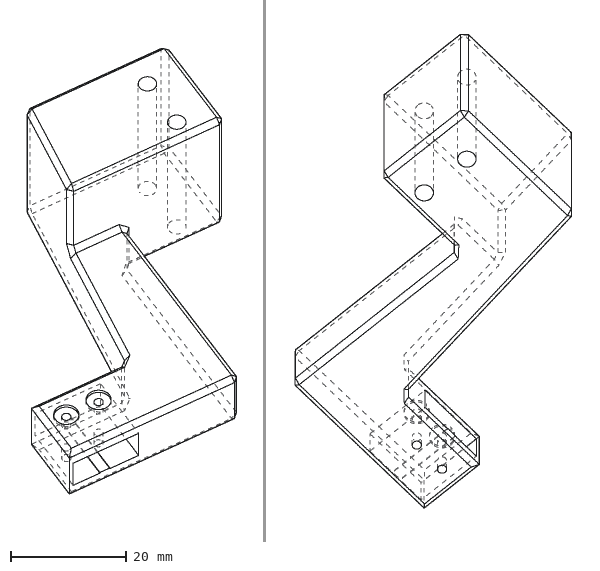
import cadquery as cq

length = 59.15
depth = 54.5
block_height = 28.6
arm_height = 11.85
edge_chamfer = 1.0

block_width = 19.9
arm_rear_y = 34.25
finger_width = 12.95
slant_left_y = 26.05
slant_right_y = 19.25
finger_left_x = length - finger_width

mount_hole_diameter = 3.2
mount_hole_spacing = 10.0
mount_hole_first_x = 6.35
mount_hole_y = 47.0

screw_hole_diameter = 1.6
screw_head_diameter = 4.4
screw_head_depth = 0.6
screw_x = 51.25
screw_first_y = 4.1
screw_spacing = 6.5

window_front_wall = 0.75
window_width = 13.2
window_floor_z = 2.9
window_height = 6.05

rib_width = 2.0
rib_height = 0.2
rib_front_y = 6.15


def make_body():
    """Tall block, tapered arm and finger, with chamfered edges."""
    outline = [
        (0, slant_left_y),
        (finger_left_x, slant_right_y),
        (finger_left_x, 0),
        (length, 0),
        (length, arm_rear_y),
        (block_width, arm_rear_y),
        (block_width, depth),
        (0, depth),
    ]
    body = cq.Workplane("XY").polyline(outline).close().extrude(block_height)
    space_above_arm = cq.Workplane("XY").box(
        length - block_width, depth, block_height - arm_height, centered=False
    ).translate((block_width, 0, arm_height))
    body = body.cut(space_above_arm)

    sharp_edges = body.faces("<Y").edges("|Z").vals()
    chamfered_edges = [
        edge for edge in body.edges().vals()
        if not any(edge.isSame(sharp) for sharp in sharp_edges)
    ]
    return body.newObject(chamfered_edges).chamfer(edge_chamfer)


def finger_bar(front_y, width, bottom_z, height):
    """Rectangular bar along X, as long as the finger is wide."""
    bar = cq.Workplane("XY").box(finger_width, width, height, centered=False)
    return bar.translate((finger_left_x, front_y, bottom_z))


def upright_cylinders(diameter, points, bottom_z, top_z):
    """Cylinders along Z at the given plan points."""
    plane = cq.Workplane("XY").workplane(offset=bottom_z)
    return plane.pushPoints(points).circle(diameter / 2).extrude(top_z - bottom_z)


mount_points = [(mount_hole_first_x + i * mount_hole_spacing, mount_hole_y) for i in range(2)]
screw_points = [(screw_x, screw_first_y + i * screw_spacing) for i in range(2)]
screw_seat_z = arm_height - screw_head_depth

window = finger_bar(window_front_wall, window_width, window_floor_z, window_height)
rib = finger_bar(rib_front_y, rib_width, window_floor_z, rib_height)
mount_holes = upright_cylinders(mount_hole_diameter, mount_points, 0, block_height)
screw_holes = upright_cylinders(screw_hole_diameter, screw_points, 0, arm_height)
screw_heads = upright_cylinders(screw_head_diameter, screw_points, screw_seat_z, arm_height)

result = (
    make_body()
    .cut(window)
    .union(rib)
    .cut(mount_holes)
    .cut(screw_holes)
    .cut(screw_heads)
)